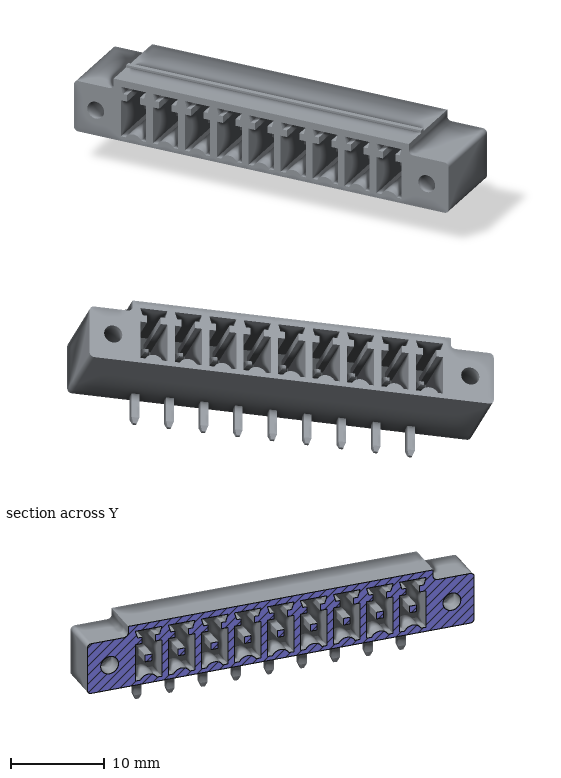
import cadquery as cq


PIN_COUNT = 9
PITCH = 3.81
PIN_WIDTH = 0.85
PIN_HEIGHT = 3.0
PIN_TIP_WIDTH = 0.4
PIN_TIP_LENGTH = 0.6
PIN_RECESS = 3.0
TAIL_LENGTH = 3.4
TAIL_INSET = 1.25

LENGTH = 44.68
DEPTH = 9.2
BODY_LENGTH = 35.2
BODY_HEIGHT = 7.25
FLANGE_HEIGHT = 6.0
EDGE_RADIUS = 0.5

RIDGE_WIDTH = 0.55
RIDGE_HEIGHT = 0.3
RIDGE_SETBACK = 2.95

CHAMBER_DEPTH = 7.0
CHAMBER_WIDTH = 3.0
CHAMBER_FLOOR = 0.55
SHOULDER_HEIGHT = 4.85
TAB_TOP = 5.65
CHAMBER_TOP = 6.45
NECK_WIDTH = 1.5
DOVETAIL_WIDTH = 2.5
FLOOR_RIB_WIDTH = 1.9
FLOOR_RIB_HEIGHT = 0.55

INSERT_OFFSET = 4.5
INSERT_HEIGHT = 3.0
INSERT_DIAMETER = 4.0
INSERT_DEPTH = 7.0
SCREW_HOLE_DIAMETER = 2.0

ROW_HALF = (PIN_COUNT - 1) * PITCH / 2
CONTACT_XS = [i * PITCH - ROW_HALF for i in range(PIN_COUNT)]
INSERT_XS = [-ROW_HALF - INSERT_OFFSET, ROW_HALF + INSERT_OFFSET]


def front_plane(x=0, y=0, z=0):
    """Sketch plane parallel to XZ whose normal points out of the mating face (-Y)."""
    return cq.Workplane(cq.Plane(origin=(x, y, z), xDir=(1, 0, 0), normal=(0, -1, 0)))


def into(sketch, depth):
    """Extrude a front-plane sketch towards the back (+Y)."""
    return sketch.extrude(-depth)


def make_housing():
    """Rounded flange block with the taller body on it, blended where they meet."""
    flanges = into(front_plane(z=FLANGE_HEIGHT / 2).rect(LENGTH, FLANGE_HEIGHT), DEPTH)
    flanges = flanges.edges("|Y").fillet(EDGE_RADIUS)
    body = into(front_plane(z=BODY_HEIGHT / 2).rect(BODY_LENGTH, BODY_HEIGHT), DEPTH)
    margin = EDGE_RADIUS / 2
    step_corners = cq.selectors.BoxSelector(
        (-BODY_LENGTH / 2 - margin, 0, FLANGE_HEIGHT - margin),
        (BODY_LENGTH / 2 + margin, DEPTH, FLANGE_HEIGHT + margin),
    )
    return flanges.union(body).edges("|Y").edges(step_corners).fillet(EDGE_RADIUS)


def make_ridge():
    base = cq.Workplane("XY", origin=(0, RIDGE_SETBACK, BODY_HEIGHT))
    return base.box(BODY_LENGTH, RIDGE_WIDTH, RIDGE_HEIGHT, centered=(True, False, False))


def make_chamber(x):
    """Keyhole-shaped chamber with a dovetail on top and a rounded rib on its floor."""
    wide = CHAMBER_WIDTH / 2
    neck = NECK_WIDTH / 2
    rib = FLOOR_RIB_WIDTH / 2
    outline = (
        front_plane(x)
        .moveTo(-wide, CHAMBER_FLOOR)
        .lineTo(-rib, CHAMBER_FLOOR)
        .threePointArc((0, CHAMBER_FLOOR + FLOOR_RIB_HEIGHT), (rib, CHAMBER_FLOOR))
        .lineTo(wide, CHAMBER_FLOOR)
        .lineTo(wide, SHOULDER_HEIGHT)
        .lineTo(neck, SHOULDER_HEIGHT)
        .lineTo(neck, TAB_TOP)
        .lineTo(DOVETAIL_WIDTH / 2, TAB_TOP)
        .lineTo(wide, CHAMBER_TOP)
        .lineTo(-wide, CHAMBER_TOP)
        .lineTo(-DOVETAIL_WIDTH / 2, TAB_TOP)
        .lineTo(-neck, TAB_TOP)
        .lineTo(-neck, SHOULDER_HEIGHT)
        .lineTo(-wide, SHOULDER_HEIGHT)
        .close()
    )
    return into(outline, CHAMBER_DEPTH)


def make_bar(length):
    """Square bar along +Z from the origin, ending in a tapered tip."""
    shank = length - PIN_TIP_LENGTH
    bar = cq.Workplane("XY").rect(PIN_WIDTH, PIN_WIDTH).extrude(shank)
    tip = (
        cq.Workplane("XY", origin=(0, 0, shank))
        .rect(PIN_WIDTH, PIN_WIDTH)
        .workplane(offset=PIN_TIP_LENGTH)
        .rect(PIN_TIP_WIDTH, PIN_TIP_WIDTH)
        .loft(ruled=True)
    )
    return bar.union(tip)


def make_contact(x):
    """Bent contact: a pin towards the mating face and a solder tail downwards."""
    bend_y = DEPTH - TAIL_INSET
    pin = make_bar(bend_y - PIN_RECESS).rotate((0, 0, 0), (1, 0, 0), 90)
    tail = make_bar(PIN_HEIGHT + TAIL_LENGTH).rotate((0, 0, 0), (1, 0, 0), 180)
    return pin.union(tail).translate((x, bend_y, PIN_HEIGHT))


def make_insert_bore(x):
    return into(front_plane(x, 0, INSERT_HEIGHT).circle(INSERT_DIAMETER / 2), INSERT_DEPTH)


def make_insert(x):
    """Insert flush with the mating face, with a blind screw hole."""
    ring = front_plane(x, 0, INSERT_HEIGHT).circle(INSERT_DIAMETER / 2).circle(SCREW_HOLE_DIAMETER / 2)
    return into(ring, INSERT_DEPTH)


result = make_housing().union(make_ridge())
for contact_x in CONTACT_XS:
    result = result.cut(make_chamber(contact_x)).union(make_contact(contact_x))

for insert_x in INSERT_XS:
    result = result.cut(make_insert_bore(insert_x))

for insert_x in INSERT_XS:
    result = result.union(make_insert(insert_x), clean=False)